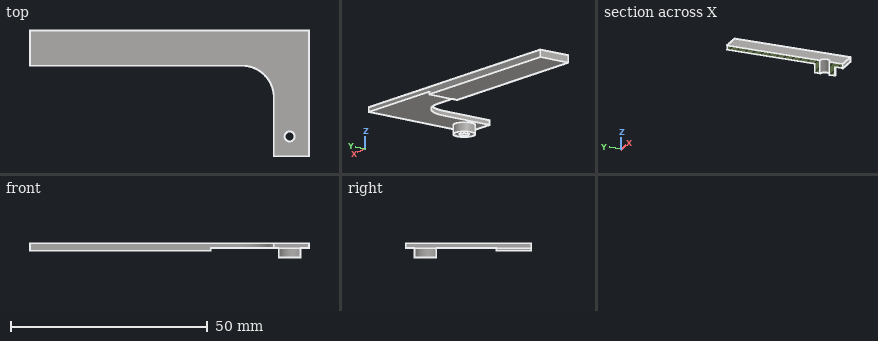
import cadquery as cq

length = 71.0
depth = 32.0
total_height = 3.7
arm_width = 9.0
inner_radius = 8.0

thin = 1.3
thick = 2.0
thick_length = 46.0

boss_diameter = 5.6
hole_diameter = 2.5
boss_from_side = 5.0
boss_from_end = 5.05

top_z = total_height
thin_bottom_z = top_z - thin
inner_x = length - arm_width
inner_y = depth - arm_width
boss_center = (length - boss_from_side, boss_from_end)


def l_plate():
    """Thin L-shaped plate with a rounded inner corner."""
    plate = (
        cq.Workplane("XY", origin=(0, 0, thin_bottom_z))
        .moveTo(0, depth)
        .lineTo(length, depth)
        .lineTo(length, 0)
        .lineTo(inner_x, 0)
        .lineTo(inner_x, inner_y - inner_radius)
        .radiusArc((inner_x - inner_radius, inner_y), -inner_radius)
        .lineTo(0, inner_y)
        .close()
        .extrude(thin)
    )
    return plate


def thick_end():
    """Full-thickness bar at the free end of the long arm."""
    return cq.Workplane("XY", origin=(0, inner_y, top_z - thick)).box(
        thick_length, arm_width, thick, centered=False
    )


def boss():
    """Round boss reaching from the base up to the plate's underside."""
    return cq.Workplane("XY").center(*boss_center).circle(boss_diameter / 2).extrude(thin_bottom_z)


def through_hole():
    """Hole through the boss and the plate."""
    return cq.Workplane("XY").center(*boss_center).circle(hole_diameter / 2).extrude(total_height)


result = l_plate().union(thick_end()).union(boss()).cut(through_hole())